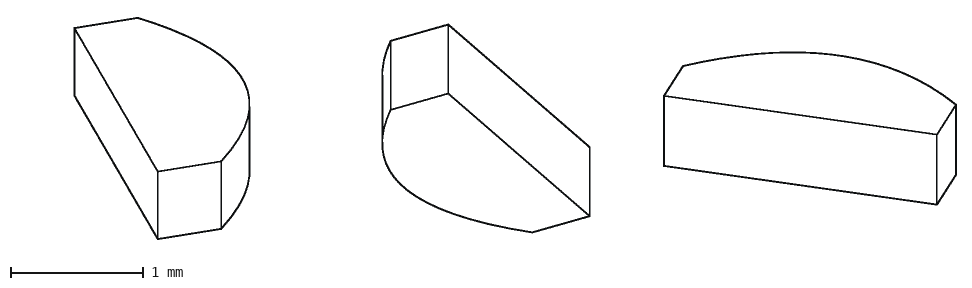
import cadquery as cq

length = 2.15
depth = 1.0
thickness = 0.6
side_depth = depth / 2

half_length = length / 2

profile = (
    cq.Workplane("XY")
    .moveTo(-half_length, 0)
    .lineTo(half_length, 0)
    .lineTo(half_length, side_depth)
    .spline([(0, depth), (-half_length, side_depth)], includeCurrent=True)
    .close()
)

result = profile.extrude(thickness)